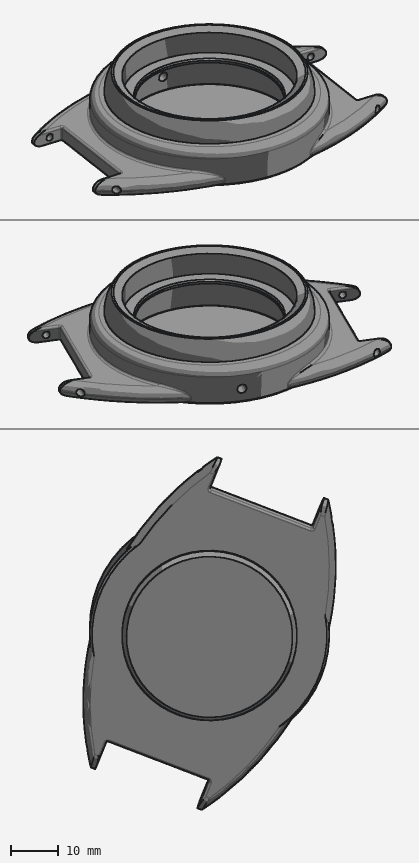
import cadquery as cq
import math

pick_margin = 0.1

case_radius = 25.0
case_bottom = 1.45
case_top = 10.0
case_top_fillet = 1.9
case_bottom_chamfer = 0.5
bore_radius = 18.25
seat_radius = 20.5
seat_height = 8.2

lug_tip_y = 35.9
lug_top = 4.95
lug_side_radius = 63.45
lug_tip_half_width = 12.4
lug_tip_length = 3.3
lug_top_fillet = 2.0
lug_bottom_fillet = 1.45
lug_joint_fillet = 0.5
strap_half_width = 11.5
strap_slot_y = 29.2
strap_corner_fillet = 0.3
strap_edge_fillet = 0.5
spring_bar_diameter = 1.6
spring_bar_y = 32.1
spring_bar_z = (case_bottom + lug_top) / 2

stem_diameter = 2.0
stem_z = 4.8

ring_inner_radius = 15.5
ring_top = 9.05
ring_chamfer_width = 0.3
ring_chamfer_height = 0.35

bezel_top = 14.65
bezel_radius = 22.0
bezel_rim_outer_radius = 20.5
bezel_rim_inner_radius = 20.05
bezel_cone_depth = 0.8

back_chamfer = 0.9
back_floor = 1.6


def disc(radius, bottom, top):
    return cq.Workplane("XY").workplane(offset=bottom).circle(radius).extrude(top - bottom)


def make_rounded_plate():
    """Plate spanning both lug pairs, with bowed flanks rounded at the top and bottom edges."""
    arc_center_x = lug_tip_half_width - math.sqrt(lug_side_radius**2 - lug_tip_y**2)
    half_width = arc_center_x + lug_side_radius
    return (
        cq.Workplane("XY")
        .workplane(offset=case_bottom)
        .moveTo(-lug_tip_half_width, -lug_tip_y)
        .lineTo(lug_tip_half_width, -lug_tip_y)
        .threePointArc((half_width, 0), (lug_tip_half_width, lug_tip_y))
        .lineTo(-lug_tip_half_width, lug_tip_y)
        .threePointArc((-half_width, 0), (-lug_tip_half_width, -lug_tip_y))
        .close()
        .extrude(lug_top - case_bottom)
        .faces(">Z").edges("%CIRCLE").fillet(lug_top_fillet)
        .faces("<Z").edges("%CIRCLE").fillet(lug_bottom_fillet)
    )


def make_slotted_block():
    """Block with an open strap slot at each end, its corners and edges rounded."""
    height = lug_top - case_bottom
    slot_length = 2 * (lug_tip_y - strap_slot_y)
    base = cq.Workplane("XY").workplane(offset=case_bottom)
    block = base.rect(2 * case_radius, 2 * lug_tip_y).extrude(height)
    slots = (
        base.pushPoints([(0, -lug_tip_y), (0, lug_tip_y)])
        .rect(2 * strap_half_width, slot_length)
        .extrude(height)
        .edges("|Z").fillet(strap_corner_fillet)
    )
    reach = strap_half_width + pick_margin
    slot_walls = cq.selectors.BoxSelector(
        (-reach, -lug_tip_y, case_bottom - pick_margin), (reach, lug_tip_y, lug_top + pick_margin)
    )
    return block.cut(slots).edges(slot_walls).edges("#Z").fillet(strap_edge_fillet)


def make_side_profile():
    """Solid whose ends are half-ellipses in the YZ plane, giving the lug tips their shape."""
    middle_z = case_bottom + lug_bottom_fillet
    straight_y = lug_tip_y - lug_tip_length
    top_rise = lug_top - middle_z
    return (
        cq.Workplane("YZ")
        .moveTo(straight_y, case_bottom)
        .ellipseArc(lug_tip_length, lug_bottom_fillet, -90, 0)
        .ellipseArc(lug_tip_length, top_rise, 0, 90)
        .lineTo(-straight_y, lug_top)
        .ellipseArc(lug_tip_length, top_rise, 90, 180)
        .ellipseArc(lug_tip_length, lug_bottom_fillet, 180, 270)
        .close()
        .extrude(case_radius, both=True)
    )


def make_lug_plate():
    """All four lugs in one plate: bowed flanks, strap slots and rounded tips."""
    return make_rounded_plate().intersect(make_slotted_block()).intersect(make_side_profile())


def make_case():
    body = (
        disc(case_radius, case_bottom, case_top)
        .faces(">Z").edges().fillet(case_top_fillet)
        .faces("<Z").edges().chamfer(case_bottom_chamfer)
        .union(make_lug_plate())
    )
    reach = case_radius + pick_margin
    joint_height = cq.selectors.BoxSelector(
        (-reach, -reach, lug_top - pick_margin), (reach, reach, lug_top + pick_margin)
    )
    body = body.edges(joint_height).edges("%CIRCLE").fillet(lug_joint_fillet)
    for side in (-1, 1):
        spring_bar_hole = (
            cq.Workplane("YZ")
            .center(side * spring_bar_y, spring_bar_z)
            .circle(spring_bar_diameter / 2)
            .extrude(case_radius, both=True)
        )
        body = body.cut(spring_bar_hole)
    stem_hole = (
        cq.Workplane("YZ").center(0, stem_z).circle(stem_diameter / 2).extrude(-case_radius)
    )
    return (
        body.cut(disc(bore_radius, case_bottom, case_top))
        .cut(disc(seat_radius, seat_height, case_top))
        .cut(stem_hole)
    )


def make_dial_ring():
    """Flat ring on the case seat, chamfered on its inner top edge."""
    return (
        cq.Workplane("XZ")
        .moveTo(ring_inner_radius, seat_height)
        .lineTo(seat_radius, seat_height)
        .lineTo(seat_radius, ring_top)
        .lineTo(ring_inner_radius + ring_chamfer_width, ring_top)
        .lineTo(ring_inner_radius, ring_top - ring_chamfer_height)
        .close()
        .revolve(360, (0, 0, 0), (0, 1, 0))
    )


def make_bezel():
    """Domed bezel whose spigot rests on the dial ring, with a conical mouth."""
    height = bezel_top - case_top
    inset = bezel_radius - bezel_rim_outer_radius
    dome_radius = (height**2 + inset**2) / (2 * inset)
    mid_height = height / 2
    mid_radius = bezel_radius - dome_radius + math.sqrt(dome_radius**2 - mid_height**2)
    return (
        cq.Workplane("XZ")
        .moveTo(bore_radius, ring_top)
        .lineTo(seat_radius, ring_top)
        .lineTo(seat_radius, case_top)
        .lineTo(bezel_radius, case_top)
        .threePointArc((mid_radius, case_top + mid_height), (bezel_rim_outer_radius, bezel_top))
        .lineTo(bezel_rim_inner_radius, bezel_top)
        .lineTo(bore_radius, bezel_top - bezel_cone_depth)
        .close()
        .revolve(360, (0, 0, 0), (0, 1, 0))
    )


def make_case_back():
    """Plain disc that plugs the bottom of the case bore, chamfered underneath."""
    return disc(bore_radius, 0, back_floor).faces("<Z").edges().chamfer(back_chamfer)


case = make_case()
dial_ring = make_dial_ring()
bezel = make_bezel()
case_back = make_case_back()

result = cq.Compound.makeCompound([case.val(), dial_ring.val(), bezel.val(), case_back.val()])